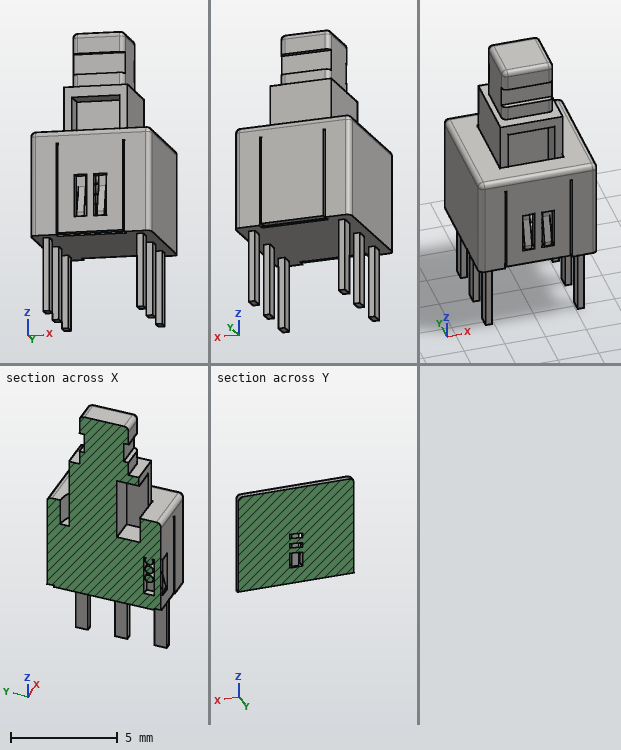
import cadquery as cq

HOUSING_SIDE = 5.8
HOUSING_HEIGHT = 5.01
EDGE_RADIUS = 0.25
FRONT_Y = -HOUSING_SIDE / 2

STEM_WIDTH = 3.05
STEM_LENGTH = 3.55
STEM_HEIGHT = 2.3
STEM_CLEARANCE = 0.04
GUIDE_DEPTH = 1.35
STEM_TOP = HOUSING_HEIGHT + STEM_HEIGHT

STEM_RECESS_WIDTH = 2.3
STEM_RECESS_DEPTH = 1.11
STEM_RECESS_TOP_WALL = 0.5

RELIEF_RADIUS = 1.46
RELIEF_CENTER_Y = 0.74

CAP_SIDE = 2.5
CAP_HEIGHT = 2.7
CAP_GROOVE_WIDTH = 1.0
CAP_EDGE_RADIUS = 0.24
CAP_GROOVE_DEPTH = CAP_EDGE_RADIUS
CAP_HEAD_HEIGHT = 1.0

PLATE_WIDTH = 3.12
PLATE_GAP = 0.08
PLATE_THICKNESS = 0.36
PLATE_TOP_MARGIN = 0.62

WINDOW_WIDTH = 0.6
WINDOW_HEIGHT = 2.0
WINDOW_BOTTOM = 0.84
WINDOW_SPACING = 0.35

TAB_INNER_X = 0.31
TAB_WIDTH = 0.35
TAB_SETBACK = 0.05
TAB_LIP_HEIGHT = 0.22
TAB_HEIGHT = 1.5

CHANNEL_DEPTH = 0.5
WIRE_RADIUS = 0.22
COIL_PITCH = 0.5
COIL_COUNT = 3
COIL_TILT = 5.0
LOWEST_WIRE_Z = 1.71

PIN_THICKNESS = 0.31
PIN_WIDTH = 0.62
PIN_LENGTH = 3.5
PIN_ROW_SPACING = 4.51
PIN_PITCH = 2.0
PINS_PER_ROW = 3


def block(size_x, size_y, size_z, x=0.0, y=0.0, z=0.0):
    """Box centred on x and y, standing on height z."""
    box = cq.Workplane("XY").box(size_x, size_y, size_z, centered=(True, True, False))
    return box.translate((x, y, z))


def front_pocket(width, depth, height, x, z, setback=0.0):
    """Box reaching inward from the front face of the housing."""
    return block(width, depth, height, x, FRONT_Y + setback + depth / 2, z)


def rounded_block(side, height, radius):
    """Square block with rounded upright and top edges."""
    return block(side, side, height).edges("|Z or >Z").fillet(radius)


def stem_guide():
    """Opening around the stem with its round relief."""
    bottom = HOUSING_HEIGHT - GUIDE_DEPTH
    opening = block(
        STEM_WIDTH + 2 * STEM_CLEARANCE, STEM_LENGTH + 2 * STEM_CLEARANCE, GUIDE_DEPTH, z=bottom
    )
    relief = cq.Workplane("XY").circle(RELIEF_RADIUS).extrude(GUIDE_DEPTH)
    return opening.union(relief.translate((0, RELIEF_CENTER_Y, bottom)))


def plate_grooves():
    """U-shaped groove around the sides and foot of the front plate."""
    outer_width = PLATE_WIDTH + 2 * PLATE_GAP
    height = HOUSING_HEIGHT - PLATE_TOP_MARGIN
    surround = front_pocket(outer_width, PLATE_THICKNESS, height, 0, 0)
    plate = front_pocket(PLATE_WIDTH, PLATE_THICKNESS, height - PLATE_GAP, 0, PLATE_GAP)
    return surround.cut(plate)


def latch_tab(side):
    """Tab with an upright lip and a top sloping back to the rear wall of the window."""
    tip_y = FRONT_Y + TAB_SETBACK
    back_y = FRONT_Y + PLATE_THICKNESS
    profile = (
        cq.Workplane("YZ")
        .moveTo(tip_y, WINDOW_BOTTOM)
        .lineTo(back_y, WINDOW_BOTTOM)
        .lineTo(back_y, WINDOW_BOTTOM + TAB_HEIGHT)
        .lineTo(tip_y, WINDOW_BOTTOM + TAB_LIP_HEIGHT)
        .close()
    )
    tab = profile.extrude(TAB_WIDTH / 2, both=True)
    return tab.translate((side * (TAB_INNER_X + TAB_WIDTH / 2), 0, 0))


def coil_stretch(index):
    """Slightly tilted wire crossing the channel, its ends buried in the walls."""
    length = 2 * TAB_INNER_X + 2 * WIRE_RADIUS
    wire = cq.Workplane("YZ").circle(WIRE_RADIUS).extrude(length / 2, both=True)
    wire = wire.rotate((0, 0, 0), (0, 1, 0), -COIL_TILT)
    wire_y = FRONT_Y + PLATE_THICKNESS + CHANNEL_DEPTH / 2
    return wire.translate((0, wire_y, LOWEST_WIRE_Z + index * COIL_PITCH))


def housing():
    body = rounded_block(HOUSING_SIDE, HOUSING_HEIGHT, EDGE_RADIUS).cut(stem_guide())
    grooves = plate_grooves()
    body = body.cut(grooves).cut(grooves.mirror("XZ"))
    body = body.cut(
        front_pocket(2 * TAB_INNER_X, CHANNEL_DEPTH, WINDOW_HEIGHT, 0, WINDOW_BOTTOM, PLATE_THICKNESS)
    )
    window_x = (WINDOW_SPACING + WINDOW_WIDTH) / 2
    for side in (-1, 1):
        body = body.cut(
            front_pocket(WINDOW_WIDTH, PLATE_THICKNESS, WINDOW_HEIGHT, side * window_x, WINDOW_BOTTOM)
        )
        body = body.union(latch_tab(side))
    for index in range(COIL_COUNT):
        body = body.union(coil_stretch(index))
    return body


def stem():
    height = STEM_HEIGHT + GUIDE_DEPTH
    bottom = HOUSING_HEIGHT - GUIDE_DEPTH
    recess_y = (STEM_RECESS_DEPTH - STEM_LENGTH) / 2
    recess_height = height - STEM_RECESS_TOP_WALL
    recess = block(STEM_RECESS_WIDTH, STEM_RECESS_DEPTH, recess_height, y=recess_y, z=bottom)
    return block(STEM_WIDTH, STEM_LENGTH, height, z=bottom).cut(recess)


def cap():
    body = rounded_block(CAP_SIDE, CAP_HEIGHT, CAP_EDGE_RADIUS)
    groove_z = CAP_HEIGHT - CAP_HEAD_HEIGHT - CAP_GROOVE_WIDTH
    groove_y = (CAP_SIDE - CAP_GROOVE_DEPTH) / 2
    for side in (-1, 1):
        body = body.cut(
            block(CAP_SIDE, CAP_GROOVE_DEPTH, CAP_GROOVE_WIDTH, y=side * groove_y, z=groove_z)
        )
    return body.translate((0, 0, STEM_TOP))


def pins():
    pin = cq.Workplane("XY").workplane(offset=-PIN_LENGTH)
    pin = pin.rarray(PIN_ROW_SPACING, PIN_PITCH, 2, PINS_PER_ROW)
    return pin.rect(PIN_THICKNESS, PIN_WIDTH).extrude(PIN_LENGTH)


result = housing().union(stem()).union(cap()).union(pins())